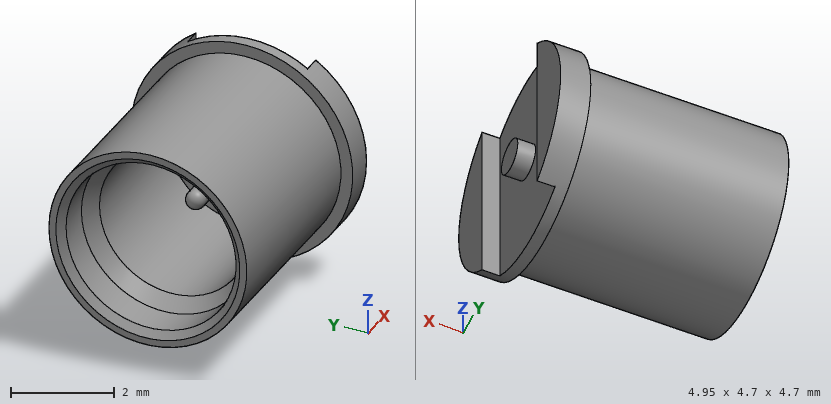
import cadquery as cq

total_length = 4.95
body_diameter = 4.2
flange_diameter = 4.7
flange_start = 4.31
slot_floor = 4.575
slot_width = 2.54

mouth_radius = 1.95
entry_radius = 1.8
bore_radius = 1.58
chamfer_depth = mouth_radius - entry_radius
cone_start = 0.85
cone_end = 1.2
bore_floor = flange_start

bead_diameter = 1.6
bead_height = 0.1
pin_radius = 0.2
pin_tip = 2.0
terminal_diameter = 0.75


def cylinder(diameter, start, end):
    """Solid cylinder on the X axis between two X positions."""
    return cq.Workplane("YZ", origin=(start, 0, 0)).circle(diameter / 2).extrude(end - start)


def make_bore():
    """Stepped bore: lead-in chamfer, entry bore, cone and main bore."""
    return (
        cq.Workplane("XY")
        .lineTo(0, mouth_radius)
        .lineTo(chamfer_depth, entry_radius)
        .lineTo(cone_start, entry_radius)
        .lineTo(cone_end, bore_radius)
        .lineTo(bore_floor, bore_radius)
        .lineTo(bore_floor, 0)
        .close()
        .revolve(360, (0, 0, 0), (1, 0, 0))
    )


def make_rear_slot():
    """Slot across the rear face, open at both ends along Z."""
    return cq.Workplane("XY").box(
        total_length - slot_floor, slot_width, flange_diameter, centered=(False, True, True)
    ).translate((slot_floor, 0, 0))


def make_pin():
    """Center contact with a hemispherical tip, rooted in the rear wall."""
    tip_center = pin_tip + pin_radius
    tip = cq.Workplane("XY").sphere(pin_radius).translate((tip_center, 0, 0))
    return cylinder(2 * pin_radius, tip_center, slot_floor).union(tip)


shell = cylinder(body_diameter, 0, flange_start)
shell = shell.union(cylinder(flange_diameter, flange_start, total_length))
shell = shell.cut(make_bore()).cut(make_rear_slot())

terminal = cylinder(terminal_diameter, slot_floor, total_length)
bead = cylinder(bead_diameter, bore_floor - bead_height, slot_floor)
result = shell.union(bead).union(make_pin()).union(terminal)